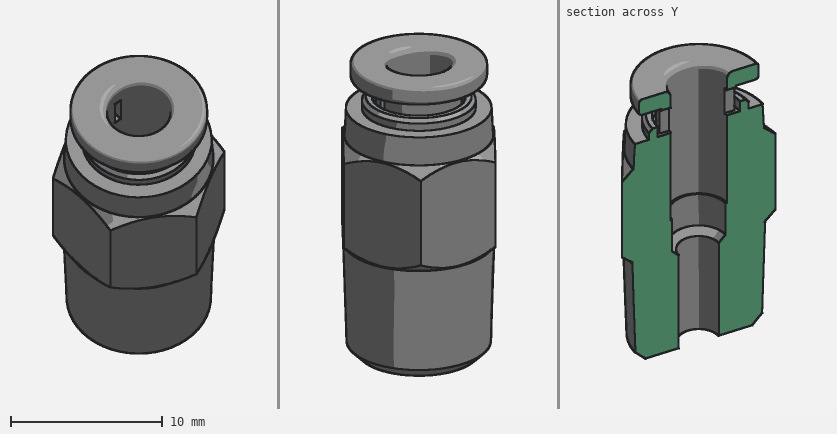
import cadquery as cq
import math

total_height = 21.0
thread_top = 8.0
hex_top = 15.6
body_top = 17.58
ring_top = 18.38
cap_height = 1.3
cap_bottom = total_height - cap_height

thread_radius = 5.0
thread_tip_chamfer = 0.75
thread_taper_per_side = 1 / 32
thread_small_radius = thread_radius - thread_taper_per_side * (thread_top - thread_tip_chamfer)

hex_across_flats = 10.0
hex_corner_diameter = hex_across_flats / math.cos(math.pi / 6)
hex_chamfer_radius = 4.94
hex_chamfer_height = 0.75

collar_base_radius = 4.91
collar_top_radius = 4.8
ring_radius = 3.75
ring_chamfer = 0.27
ring_opening_radius = 3.09

neck_radius = 2.81
cap_radius = 4.52
cap_fillet = 0.32
slot_width = 0.5
slot_top = 19.57

sleeve_bore_radius = 2.1
mouth_fillet = 0.5
socket_radius = 2.0
socket_top = 10.52
funnel_top = thread_top
flow_radius = 1.5
funnel_height = socket_radius - flow_radius


def make_thread():
    """Tapered thread envelope with a 45 degree chamfer at its tip."""
    tip_radius = thread_small_radius - thread_tip_chamfer
    profile = [
        (0, 0),
        (tip_radius, 0),
        (thread_small_radius, thread_tip_chamfer),
        (thread_radius, thread_top),
        (0, thread_top),
    ]
    return cq.Workplane("XZ").polyline(profile).close().revolve(360, (0, 0), (0, 1))


def make_hexagon():
    """Hexagon with corners on the X axis, trimmed by a cone at each end."""
    prism = (
        cq.Workplane("XY")
        .workplane(offset=thread_top)
        .polygon(6, hex_corner_diameter)
        .extrude(hex_top - thread_top)
    )
    corner_radius = hex_corner_diameter / 2
    envelope = [
        (0, thread_top),
        (hex_chamfer_radius, thread_top),
        (corner_radius, thread_top + hex_chamfer_height),
        (corner_radius, hex_top - hex_chamfer_height),
        (hex_chamfer_radius, hex_top),
        (0, hex_top),
    ]
    trim = cq.Workplane("XZ").polyline(envelope).close().revolve(360, (0, 0), (0, 1))
    return prism.intersect(trim)


def make_collar_and_ring():
    """Slightly conical collar carrying the chamfered retaining ring."""
    profile = [
        (0, hex_top),
        (collar_base_radius, hex_top),
        (collar_top_radius, body_top),
        (ring_radius, body_top),
        (ring_radius, ring_top - ring_chamfer),
        (ring_radius - ring_chamfer, ring_top),
        (0, ring_top),
    ]
    return cq.Workplane("XZ").polyline(profile).close().revolve(360, (0, 0), (0, 1))


def make_ring_clearance():
    """Annular gap between the retaining ring and the sleeve neck."""
    return (
        cq.Workplane("XY")
        .workplane(offset=body_top)
        .circle(ring_opening_radius)
        .circle(neck_radius)
        .extrude(ring_top - body_top)
    )


def make_sleeve():
    """Neck and rounded cap of the release sleeve."""
    neck = cq.Workplane("XY").workplane(offset=ring_top).circle(neck_radius).extrude(cap_bottom - ring_top)
    cap = cq.Workplane("XY").workplane(offset=cap_bottom).circle(cap_radius).extrude(cap_height)
    return neck.union(cap.edges().fillet(cap_fillet))


def make_bore():
    """Rounded mouth, sleeve bore, tube socket, funnel and flow passage."""
    arc_offset = mouth_fillet * (1 - math.sqrt(0.5))
    mouth_radius = sleeve_bore_radius + mouth_fillet
    return (
        cq.Workplane("XZ")
        .moveTo(0, 0)
        .lineTo(flow_radius, 0)
        .lineTo(flow_radius, funnel_top - funnel_height)
        .lineTo(socket_radius, funnel_top)
        .lineTo(socket_radius, socket_top)
        .lineTo(sleeve_bore_radius, socket_top)
        .lineTo(sleeve_bore_radius, total_height - mouth_fillet)
        .threePointArc(
            (sleeve_bore_radius + arc_offset, total_height - arc_offset),
            (mouth_radius, total_height),
        )
        .lineTo(0, total_height)
        .close()
        .revolve(360, (0, 0), (0, 1))
    )


def make_slot():
    """Slot along X through both walls of the sleeve neck, down to the foot of the clearance."""
    return (
        cq.Workplane("XY")
        .workplane(offset=body_top)
        .rect(2 * neck_radius, slot_width)
        .extrude(slot_top - body_top)
    )


result = (
    make_thread()
    .union(make_hexagon())
    .union(make_collar_and_ring())
    .cut(make_ring_clearance())
    .union(make_sleeve())
    .cut(make_bore())
    .cut(make_slot())
)